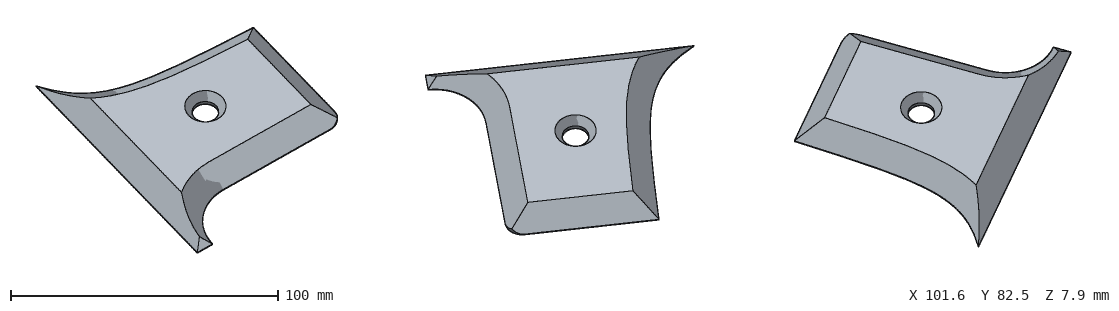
import cadquery as cq
import math

length = 101.6
width = 82.5
thickness = 7.9

rim = 0.4
bevel_slope = 40.0
bevel_rise = thickness - rim
bevel_inset = bevel_rise / math.tan(math.radians(bevel_slope))
bevel_taper = 90.0 - bevel_slope

right_edge = 82.5
foot_width = 7.1
notch_radius = length - right_edge
corner_radius = 6.5

flare_start = (0.0, 0.0)
flare_start_handle = (21.6, 13.7)
flare_end_handle = (22.9, 29.5)
flare_end = (25.2, width)

hole_diameter = 10.0
countersink_diameter = 15.4
countersink_angle = 82.0

overreach = 40.6


def beyond(end, handle):
    """Point past a curve end, continuing its tangent away from the handle."""
    dx = end[0] - handle[0]
    dy = end[1] - handle[1]
    stretch = overreach / math.hypot(dx, dy)
    return (end[0] + dx * stretch, end[1] + dy * stretch)


def bevel_cutter(outline):
    """Cut upright through the rim, then widening with height along the bevel."""
    wire = outline.wire().val()
    raised_wire = wire.translate(cq.Vector(0, 0, rim))
    upright = cq.Workplane("XY").add(wire).toPending().extrude(rim)
    sloped = cq.Workplane("XY").add(raised_wire).toPending().extrude(bevel_rise, taper=-bevel_taper)
    return upright.union(sloped)


def block():
    """Plate with bevelled front, back and right ends, and a square left end."""
    side = (
        cq.Workplane("YZ")
        .polyline([
            (0, 0),
            (width, 0),
            (width, rim),
            (width - bevel_inset, thickness),
            (bevel_inset, thickness),
            (0, rim),
        ])
        .close()
        .extrude(length)
    )
    end = (
        cq.Workplane("XZ")
        .polyline([
            (0, 0),
            (length, 0),
            (length, rim),
            (length - bevel_inset, thickness),
            (0, thickness),
        ])
        .close()
        .extrude(-width)
    )
    return side.intersect(end)


def notch():
    """Space to the right of the straight edge and the concave round."""
    far_right = length + overreach
    far_back = width + overreach
    notch_top = foot_width + notch_radius
    arc_offset = notch_radius * math.sqrt(0.5)
    outline = (
        cq.Workplane("XY")
        .moveTo(right_edge, far_back)
        .lineTo(right_edge, notch_top)
        .threePointArc((length - arc_offset, notch_top - arc_offset), (length, foot_width))
        .lineTo(far_right, foot_width)
        .lineTo(far_right, far_back)
        .close()
    )
    return bevel_cutter(outline)


def flare():
    """Space to the left of the flared curve."""
    lower = beyond(flare_start, flare_start_handle)
    upper = beyond(flare_end, flare_end_handle)
    outline = (
        cq.Workplane("XY")
        .moveTo(*lower)
        .lineTo(*flare_start)
        .bezier([flare_start, flare_start_handle, flare_end_handle, flare_end])
        .lineTo(*upper)
        .lineTo(lower[0], upper[1])
        .close()
    )
    return bevel_cutter(outline)


def corner_waste():
    """Upright sliver outside the rounded back right corner."""
    square = (
        cq.Workplane("XY")
        .rect(corner_radius, corner_radius, centered=False)
        .extrude(thickness)
    )
    round_part = cq.Workplane("XY").circle(corner_radius).extrude(thickness)
    return square.cut(round_part).translate((right_edge - corner_radius, width - corner_radius, 0))


def countersunk_hole():
    """Revolved half profile of the hole, mirrored about mid thickness."""
    hole_radius = hole_diameter / 2
    mouth_radius = countersink_diameter / 2
    depth = (mouth_radius - hole_radius) / math.tan(math.radians(countersink_angle / 2))
    return (
        cq.Workplane("XZ")
        .polyline([
            (0, 0),
            (mouth_radius, 0),
            (hole_radius, depth),
            (hole_radius, thickness - depth),
            (mouth_radius, thickness),
            (0, thickness),
        ])
        .close()
        .revolve(360, (0, 0), (0, 1))
        .translate((length / 2, width / 2, 0))
    )


plate = block().cut(notch()).cut(flare()).cut(corner_waste())
result = plate.cut(countersunk_hole())